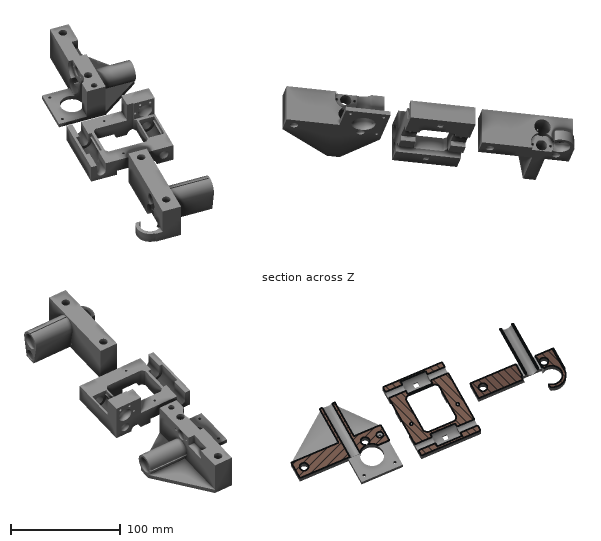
import cadquery as cq
import math

block_height = 35.0
block_rod_radius = 3.9
rod_hole_spacing = 62.1
rod_hole_inset = 9.0

tube_radius = 10.0
tube_bore_radius = 7.67
tube_slit = 1.0
tube_axis_inset = 11.8
nut_axis_inset = 6.0
nut_bore_radius = 5.25
nut_flange_radius = 11.0
nut_flange_depth = 4.0
nut_screw_offset = 8.3
nut_screw_radius = 1.3

foot_height = 4.0
foot_width = 11.8

motor_block_length = 91.5
motor_block_front = 27.5
motor_block_back = 46.0
motor_block_mid = (motor_block_front + motor_block_back) / 2
motor_tube_x = 56.2
motor_tube_end = 85.8
motor_plate_width = 42.0
motor_x = 70.5
motor_screw_offset = 15.5
motor_y = motor_block_mid - motor_screw_offset
motor_bore_radius = 11.0
motor_screw_radius = 1.48
motor_screw_head_radius = 3.0
switch_pocket_x = 23.5
switch_pocket_length = 20.5
switch_pocket_width = 6.5
switch_pocket_depth = 10.0

idler_block_x = 184.0
idler_block_end = 268.2
idler_block_front = 31.5
idler_block_back = 49.5
idler_tube_x = 240.5
idler_tube_end = 89.3
hook_x = 255.0
hook_y = 24.5
hook_outer_radius = idler_block_end - hook_x
hook_inner_radius = 9.7
hook_tip_x = 248.0
hook_height = 9.7
end_plate_thickness = 0.8

carriage_x = 110.3
carriage_width = 60.8
carriage_length = 81.0
carriage_height = 17.8
window_x = 124.0
window_width = 33.0
window_front = 20.2
window_back = 62.5
window_chamfer = 2.7
slide_rod_radius = 4.45
slide_rod_z = carriage_height / 2
front_rod_y = 10.0
back_rod_y = 71.5
bearing_radius = 7.67
bearing_x = 128.0
bearing_length = 25.0
bearing_ledge_z = 13.5
tie_hole_x = 140.1
tie_hole_side = 4.8
belt_y = 34.5
belt_channel_width = 17.8
belt_channel_height = 4.8
belt_screw_radius = 1.2
belt_screw_inset = 6.7
groove_y = 59.5
groove_radius = 5.25
tower_width = 14.5
tower_length = 27.0
tower_height = 37.0
tower_bore_z = 24.5
tower_bore_radius = 6.85
tower_screw_circle = 10.0
tower_screw_radius = 1.2
tower_screw_angles = (0, 60, 120)


def box(x0, x1, y0, y1, z0, z1):
    return cq.Workplane("XY").box(x1 - x0, y1 - y0, z1 - z0, centered=False).translate((x0, y0, z0))


def rod_x(x0, x1, y, z, radius):
    return cq.Workplane("YZ").center(y, z).circle(radius).extrude(x1 - x0).translate((x0, 0, 0))


def rod_y(y0, y1, x, z, radius):
    return cq.Workplane("XZ").center(x, z).circle(radius).extrude(y0 - y1).translate((0, y0, 0))


def rod_z(z0, z1, x, y, radius):
    return cq.Workplane("XY").center(x, y).circle(radius).extrude(z1 - z0).translate((0, 0, z0))


def cut_block_holes(body, block_x, front, back, tube_x, tube_z, tube_end, nut_z, nut_bore_end):
    """Cut the rod holes, the bearing bore and the flanged nut seat of an end block."""
    for step in range(2):
        x = block_x + rod_hole_inset + step * rod_hole_spacing
        body = body.cut(rod_z(0, block_height, x, (front + back) / 2, block_rod_radius))
    body = body.cut(rod_y(front, tube_end, tube_x, tube_z, tube_bore_radius))
    body = body.cut(rod_y(front, nut_bore_end, tube_x, nut_z, nut_bore_radius))
    body = body.cut(rod_y(front, front + nut_flange_depth, tube_x, nut_z, nut_flange_radius))
    for side in (-1, 1):
        screw_x = tube_x + side * nut_screw_offset
        body = body.cut(rod_y(front, back, screw_x, nut_z, nut_screw_radius))
    return body


def make_motor_end():
    tube_z = tube_axis_inset
    body = box(0, motor_block_length, motor_block_front, motor_block_back, 0, block_height)
    body = body.union(rod_y(motor_block_back, motor_tube_end, motor_tube_x, tube_z, tube_radius))
    gusset = (
        cq.Workplane("XY")
        .moveTo(0, motor_block_back)
        .lineTo(motor_block_length, motor_block_back)
        .lineTo(motor_tube_x + foot_width / 2, motor_tube_end)
        .lineTo(motor_tube_x - foot_width / 2, motor_tube_end)
        .close()
        .extrude(foot_height)
    )
    plate_x = motor_block_length - motor_plate_width
    plate = box(plate_x, motor_block_length, 0, motor_block_front, 0, foot_height)
    body = body.union(gusset).union(plate)
    body = cut_block_holes(
        body, 0, motor_block_front, motor_block_back,
        motor_tube_x, tube_z, motor_tube_end, block_height - nut_axis_inset, motor_block_back,
    )

    body = body.cut(box(
        motor_tube_x - tube_radius, motor_tube_x, motor_block_back, motor_tube_end,
        tube_z - tube_slit / 2, tube_z + tube_slit / 2,
    ))

    body = body.cut(rod_z(0, block_height, motor_x, motor_y, motor_bore_radius))
    for side_x, side_y in ((-1, -1), (1, -1), (1, 1)):
        x = motor_x + side_x * motor_screw_offset
        y = motor_y + side_y * motor_screw_offset
        body = body.cut(rod_z(0, block_height, x, y, motor_screw_radius))
    head_x = motor_x + motor_screw_offset
    body = body.cut(rod_z(foot_height, block_height, head_x, motor_block_mid, motor_screw_head_radius))

    return body.cut(box(
        switch_pocket_x, switch_pocket_x + switch_pocket_length,
        motor_block_back - switch_pocket_width, motor_block_back,
        block_height - switch_pocket_depth, block_height,
    ))


def make_hook():
    def tip_drop(radius):
        return math.sqrt(radius ** 2 - (hook_x - hook_tip_x) ** 2)

    def arc_point(radius, angle):
        return (hook_x + radius * math.cos(angle), hook_y + radius * math.sin(angle))

    root_rise = idler_block_front - hook_y
    root_x = hook_x + math.sqrt(hook_inner_radius ** 2 - root_rise ** 2)
    middle = -math.pi / 4
    outer_tip = (hook_tip_x, hook_y - tip_drop(hook_outer_radius))
    inner_tip = (hook_tip_x, hook_y - tip_drop(hook_inner_radius))
    return (
        cq.Workplane("XY")
        .moveTo(idler_block_end, idler_block_front)
        .lineTo(idler_block_end, hook_y)
        .threePointArc(arc_point(hook_outer_radius, middle), outer_tip)
        .lineTo(*inner_tip)
        .threePointArc(arc_point(hook_inner_radius, middle), (root_x, idler_block_front))
        .close()
        .extrude(hook_height)
    )


def make_idler_end():
    tube_z = block_height - tube_axis_inset
    body = box(idler_block_x, idler_block_end, idler_block_front, idler_block_back, 0, block_height)
    body = body.union(rod_y(idler_block_back, idler_tube_end, idler_tube_x, tube_z, tube_radius))

    half_foot = foot_width / 2
    reach = math.hypot(half_foot, tube_z)
    tangent = math.atan2(-tube_z, half_foot) + math.acos(tube_radius / reach)
    tangent_x = tube_radius * math.cos(tangent)
    tangent_z = tube_z + tube_radius * math.sin(tangent)
    foot = (
        cq.Workplane("XZ", origin=(idler_tube_x, idler_block_back, 0))
        .moveTo(-half_foot, 0)
        .lineTo(half_foot, 0)
        .lineTo(tangent_x, tangent_z)
        .lineTo(-tangent_x, tangent_z)
        .close()
        .extrude(idler_block_back - idler_tube_end)
    )
    body = body.union(foot).union(make_hook())
    body = cut_block_holes(
        body, idler_block_x, idler_block_front, idler_block_back,
        idler_tube_x, tube_z, idler_tube_end, nut_axis_inset, idler_tube_end,
    )

    body = body.cut(rod_z(0, hook_height, hook_x, hook_y, hook_inner_radius))

    return body.cut(box(
        idler_tube_x - tube_slit / 2, idler_tube_x + tube_slit / 2,
        idler_block_back, idler_tube_end, tube_z, tube_z + tube_radius,
    ))


def make_end_plate():
    plate_end = idler_block_end + end_plate_thickness
    plate = box(idler_block_end, plate_end, idler_block_front, idler_block_back, 0, block_height)
    return plate.union(box(idler_block_end, plate_end, hook_y, idler_block_front, 0, hook_height))


def make_carriage():
    carriage_end = carriage_x + carriage_width
    body = box(carriage_x, carriage_end, 0, carriage_length, 0, carriage_height)
    tower_end = carriage_x + tower_width
    body = body.union(box(
        carriage_x, tower_end, carriage_length - tower_length, carriage_length, 0, tower_height,
    ))
    window = box(window_x, window_x + window_width, window_front, window_back, 0, tower_height)
    body = body.cut(window.edges("|Z").chamfer(window_chamfer))

    for y in (front_rod_y, back_rod_y):
        body = body.cut(rod_x(carriage_x, carriage_end, y, slide_rod_z, slide_rod_radius))
    body = body.cut(box(
        carriage_x, carriage_end, front_rod_y - slide_rod_radius, front_rod_y + slide_rod_radius,
        slide_rod_z, carriage_height,
    ))

    bearing_end = bearing_x + bearing_length
    half_tie = tie_hole_side / 2
    for y in (front_rod_y, back_rod_y):
        body = body.cut(rod_x(bearing_x, bearing_end, y, slide_rod_z, bearing_radius))
        body = body.cut(box(
            bearing_x, bearing_end, y - bearing_radius, y + bearing_radius, bearing_ledge_z, carriage_height,
        ))
        body = body.cut(box(
            tie_hole_x - half_tie, tie_hole_x + half_tie, y - half_tie, y + half_tie, 0, slide_rod_z,
        ))

    body = body.cut(box(
        bearing_x, bearing_end, front_rod_y - bearing_radius, front_rod_y, slide_rod_z, carriage_height,
    ))

    body = body.cut(box(
        carriage_x, carriage_end, belt_y - belt_channel_width / 2, belt_y + belt_channel_width / 2,
        0, belt_channel_height,
    ))
    body = body.cut(rod_x(carriage_x, carriage_end, groove_y, 0, groove_radius))
    for x in (carriage_x + belt_screw_inset, carriage_end - belt_screw_inset):
        body = body.cut(rod_z(0, carriage_height, x, belt_y, belt_screw_radius))

    body = body.cut(rod_x(carriage_x, bearing_x, back_rod_y, tower_bore_z, tower_bore_radius))
    for angle in tower_screw_angles:
        y = back_rod_y - tower_screw_circle * math.cos(math.radians(angle))
        z = tower_bore_z + tower_screw_circle * math.sin(math.radians(angle))
        body = body.cut(rod_x(carriage_x, tower_end, y, z, tower_screw_radius))
    return body


motor_end = make_motor_end()
idler_end = make_idler_end()
end_plate = make_end_plate()
carriage = make_carriage()

result = cq.Compound.makeCompound([
    motor_end.val(),
    idler_end.val(),
    end_plate.val(),
    carriage.val(),
])